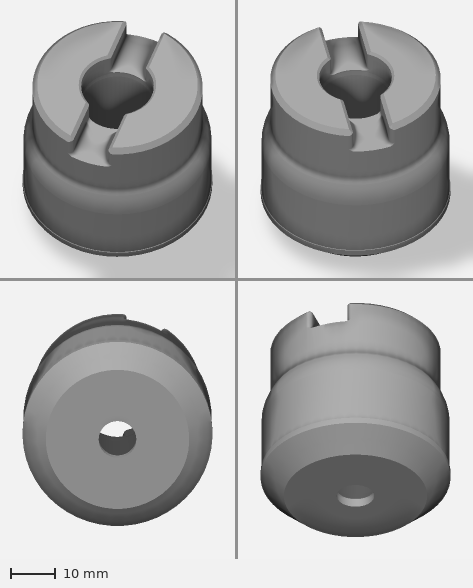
import cadquery as cq
import math

total_height = 40.0
rim_bottom_z = 5.0
seat_z = 5.42
rim_top_z = 6.45
shoulder_z = 19.9

housing_radius = 42.0 / 2
neck_radius = 38.0 / 2
neck_chamfer = 1.1
shoulder_angle = math.radians(30)
shoulder_round = 10.0
neck_round = 2.0

guide_radius = 16.2 / 2
guide_bottom_z = 34.0
guide_chamfer = 0.55
bore_radius = 16.0 / 2
bore_top_z = 32.9
bore_foot_radius = 14.58 / 2
bore_foot_slope = math.radians(30)
bore_foot_height = (bore_radius - bore_foot_radius) * math.tan(bore_foot_slope)

slot_width = 8.25
slot_floor_z = 34.33
slot_corner_round = 0.95
slot_floor_round = 0.7
slot_chamfer = 0.8

cap_radius = 42.4 / 2
cap_bottom_radius = 32.0 / 2
recess_radius = 14.1 / 2
recess_floor_z = rim_bottom_z / 2
hole_radius = 8.4 / 2
hole_chamfer = 0.45

clearance = 4.25


def revolve_profile(profile):
    """Turn a closed (radius, z) outline around the Z axis."""
    return profile.close().revolve(360, (0, 0, 0), (0, 1, 0))


def housing_blank():
    """Turned housing with its sloped shoulder and stepped bore."""
    cos_a = math.cos(shoulder_angle)
    sin_a = math.sin(shoulder_angle)

    def arc_point(center_r, center_z, radius, angle):
        return (center_r + radius * math.cos(angle), center_z + radius * math.sin(angle))

    shoulder_center_r = housing_radius - shoulder_round
    shoulder_mid = arc_point(shoulder_center_r, shoulder_z, shoulder_round, shoulder_angle / 2)
    cone_start = arc_point(shoulder_center_r, shoulder_z, shoulder_round, shoulder_angle)

    neck_center_r = neck_radius + neck_round
    cone_end_r = neck_center_r - neck_round * cos_a
    cone_end_z = cone_start[1] + (cone_start[0] - cone_end_r) / math.tan(shoulder_angle)
    neck_start_z = cone_end_z + neck_round * sin_a
    neck_mid = arc_point(neck_center_r, neck_start_z, neck_round, math.pi + shoulder_angle / 2)

    return revolve_profile(
        cq.Workplane("XZ")
        .moveTo(bore_foot_radius, seat_z)
        .lineTo(housing_radius, seat_z)
        .lineTo(housing_radius, shoulder_z)
        .threePointArc(shoulder_mid, cone_start)
        .lineTo(cone_end_r, cone_end_z)
        .threePointArc(neck_mid, (neck_radius, neck_start_z))
        .lineTo(neck_radius, total_height - neck_chamfer)
        .lineTo(neck_radius - neck_chamfer, total_height)
        .lineTo(guide_radius + guide_chamfer, total_height)
        .lineTo(guide_radius, total_height - guide_chamfer)
        .lineTo(guide_radius, guide_bottom_z)
        .lineTo(bore_radius, bore_top_z)
        .lineTo(bore_radius, seat_z + bore_foot_height)
    )


def slot_cutter():
    """Slot that flares smoothly into the bore and into the neck's outer wall."""
    depth = total_height - slot_floor_z + clearance
    outer_radius = neck_radius + clearance
    base = cq.Workplane("XY").workplane(offset=slot_floor_z)
    surround = base.circle(outer_radius).circle(neck_radius).extrude(depth)
    center = base.circle(guide_radius).extrude(depth)
    channel = base.rect(slot_width, 2 * neck_radius + clearance).extrude(depth)
    cutter = surround.union(center).union(channel)
    cutter = cutter.edges("|Z").edges(
        cq.selectors.BoxSelector(
            (-slot_width, -neck_radius, slot_floor_z),
            (slot_width, neck_radius, slot_floor_z + depth),
        )
    ).fillet(slot_corner_round)
    floor_wires = cutter.faces("<Z").wires().vals()
    lobe_edges = [
        edge for wire in floor_wires for edge in wire.Edges()
        if edge.BoundingBox().xmax < outer_radius - clearance / 2
    ]
    return cutter.newObject(lobe_edges).fillet(slot_floor_round)


def slot_chamfer_cutter():
    """Bevel along the top edges of the slot, following its flared outer ends."""
    slot_floor = cq.Workplane("XY").workplane(offset=slot_floor_z)
    depth = total_height - slot_floor_z
    lobes = (
        slot_floor.circle(neck_radius).extrude(depth)
        .cut(slot_floor.rect(slot_width, 2 * neck_radius + clearance).extrude(depth))
        .edges("|Z").edges(
            cq.selectors.BoxSelector(
                (-slot_width, -neck_radius, 0),
                (slot_width, neck_radius, total_height),
            )
        )
        .fillet(slot_corner_round)
        .faces(">Z").edges().chamfer(slot_chamfer)
    )
    level = cq.Workplane("XY").workplane(offset=total_height - slot_chamfer)
    return level.circle(neck_radius + clearance).extrude(slot_chamfer).cut(lobes)


def make_housing():
    return housing_blank().cut(slot_cutter()).cut(slot_chamfer_cutter())


def make_cap():
    """Tapered cap whose thin rim surrounds the foot of the housing."""
    return revolve_profile(
        cq.Workplane("XZ")
        .moveTo(hole_radius, 0)
        .lineTo(cap_bottom_radius, 0)
        .lineTo(cap_radius, rim_bottom_z)
        .lineTo(cap_radius, rim_top_z)
        .lineTo(housing_radius, rim_top_z)
        .lineTo(housing_radius, seat_z)
        .lineTo(recess_radius, seat_z)
        .lineTo(recess_radius, recess_floor_z)
        .lineTo(hole_radius + hole_chamfer, recess_floor_z)
        .lineTo(hole_radius, recess_floor_z - hole_chamfer)
    )


housing = make_housing()
cap = make_cap()
result = cq.Compound.makeCompound([housing.solids().val(), cap.val()])